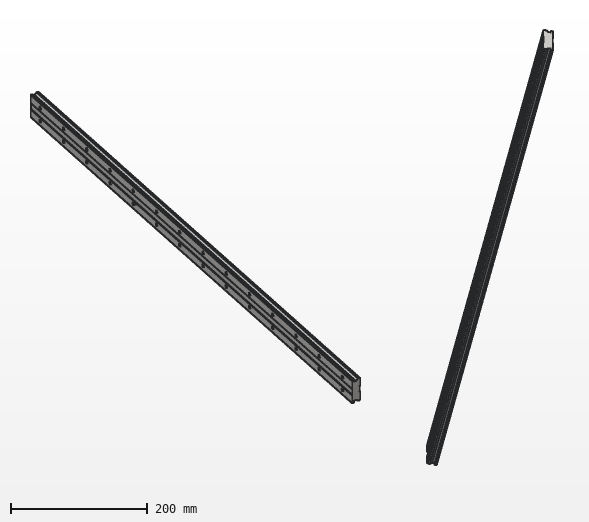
import cadquery as cq

length = 830.0
width = 42.0
height = 15.0
half_width = width / 2
base_y = -height / 2
crown_y = height / 2

base_thickness = 3.5
edge_break = 0.5
strip_y = base_y + base_thickness

groove_depth = 3.2
groove_floor_length = 3.5
groove_slope_length = 2.5
lip_drop = 1.0
groove_half_width = half_width - groove_depth
slope_start_y = strip_y + groove_floor_length
slope_end_y = slope_start_y + groove_slope_length

crown_bevel = 1.8
channel_width = 11.0
channel_depth = 1.2

relief_width = 12.0
relief_floor_width = 10.0
relief_depth = 0.5

hole_diameter = 4.5
hole_pitch = 60.0
holes_per_row = 14
row_spacing = 24.0


def make_body():
    """Extrude the cross-section, which is symmetric about the XY plane."""
    upper_half = [
        (base_y + relief_depth, relief_floor_width / 2),
        (base_y, relief_width / 2),
        (base_y, half_width - edge_break),
        (base_y + edge_break, half_width),
        (strip_y - edge_break, half_width),
        (strip_y, half_width - edge_break),
        (strip_y, groove_half_width),
        (slope_start_y, groove_half_width),
        (slope_end_y, half_width - lip_drop),
        (slope_end_y + lip_drop, half_width),
        (crown_y - crown_bevel, half_width),
        (crown_y, half_width - crown_bevel),
        (crown_y, channel_width / 2),
        (crown_y - channel_depth, channel_width / 2),
    ]
    lower_half = [(y, -z) for y, z in reversed(upper_half)]
    profile = cq.Workplane("YZ").polyline(upper_half + lower_half).close()
    return profile.extrude(length).translate((-length / 2, 0, 0))


def make_holes():
    return (
        cq.Workplane("XZ")
        .rarray(hole_pitch, row_spacing, holes_per_row, 2)
        .circle(hole_diameter / 2)
        .extrude(height, both=True)
    )


result = make_body().cut(make_holes())